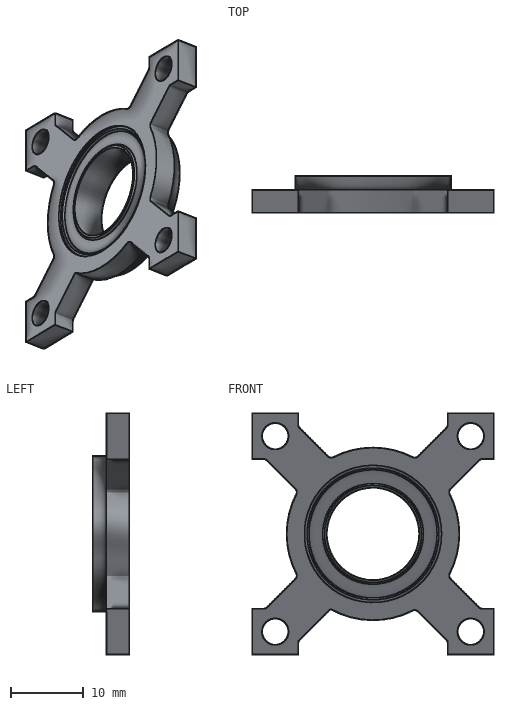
import cadquery as cq
import math

plate_span = 33.27
plate_thickness = 3.175
hub_radius = 11.9
arm_width = 6.35
tab_size = 6.35
tab_hole_diameter = 3.6
junction_fillet = 0.635

total_depth = 5.08
boss_radius = 10.75

bearing_radius = 9.45
bore_radius = 6.35
bearing_setback = 0.318

groove_depth = 0.254
groove_wall_run = 0.254
groove_outer_radius = 9.08
groove_inner_radius = 6.68

tab_center = (plate_span - tab_size) / 2
tab_inner_edge = plate_span / 2 - tab_size
quadrants = [(1, 1), (-1, 1), (-1, -1), (1, -1)]


def cylinder(radius, start, end):
    """Cylinder along Y from start to end."""
    return cq.Workplane("XZ", origin=(0, start, 0)).circle(radius).extrude(start - end)


def junction_points():
    """Inside corners, in the first quadrant, where the arm meets the hub and the tab."""
    half_width = arm_width / 2
    along_arm = math.sqrt(hub_radius**2 - half_width**2)
    hub_near = (along_arm - half_width) / math.sqrt(2)
    hub_far = (along_arm + half_width) / math.sqrt(2)
    tab_far = tab_inner_edge + half_width * math.sqrt(2)
    return [
        (hub_near, hub_far),
        (hub_far, hub_near),
        (tab_inner_edge, tab_far),
        (tab_far, tab_inner_edge),
    ]


def make_plate():
    """Hub, arms and tabs, with all but one inside corner rounded and the tabs drilled."""
    front = cq.Workplane("XZ")
    tab_centers = [(sx * tab_center, sz * tab_center) for sx, sz in quadrants]
    plate = cylinder(hub_radius, 0, plate_thickness)

    arm_length = 2 * math.sqrt(2) * tab_center
    arm_pair = front.rect(arm_length, arm_width).extrude(-plate_thickness)
    for angle in (45, 135):
        plate = plate.union(arm_pair.rotate((0, 0, 0), (0, 1, 0), angle))
    plate = plate.union(front.pushPoints(tab_centers).rect(tab_size, tab_size).extrude(-plate_thickness))

    sharp_quadrant = (-1, -1)
    sharp_junction = junction_points()[0]
    corner_edges = []
    for sx, sz in quadrants:
        for x, z in junction_points():
            is_sharp_corner = (sx, sz) == sharp_quadrant and (x, z) == sharp_junction
            if is_sharp_corner:
                continue
            corner = cq.selectors.NearestToPointSelector((sx * x, plate_thickness / 2, sz * z))
            corner_edges.extend(plate.edges("|Y").edges(corner).vals())
    plate = plate.newObject(corner_edges).fillet(junction_fillet)

    holes = front.pushPoints(tab_centers).circle(tab_hole_diameter / 2).extrude(-plate_thickness)
    return plate.cut(holes)


def make_groove():
    """Ring groove whose walls slope inward from the bearing face to the groove floor."""
    floor = bearing_setback + groove_depth
    profile = [
        (groove_inner_radius, bearing_setback),
        (groove_inner_radius + groove_wall_run, floor),
        (groove_outer_radius - groove_wall_run, floor),
        (groove_outer_radius, bearing_setback),
    ]
    return cq.Workplane("XY").polyline(profile).close().revolve(360, (0, 0, 0), (0, 1, 0))


plate = make_plate()
boss = cylinder(boss_radius, plate_thickness, total_depth)
bearing_recess = cylinder(bearing_radius, 0, bearing_setback)
bore = cylinder(bore_radius, 0, total_depth)

result = plate.union(boss).cut(bearing_recess).cut(make_groove()).cut(bore)